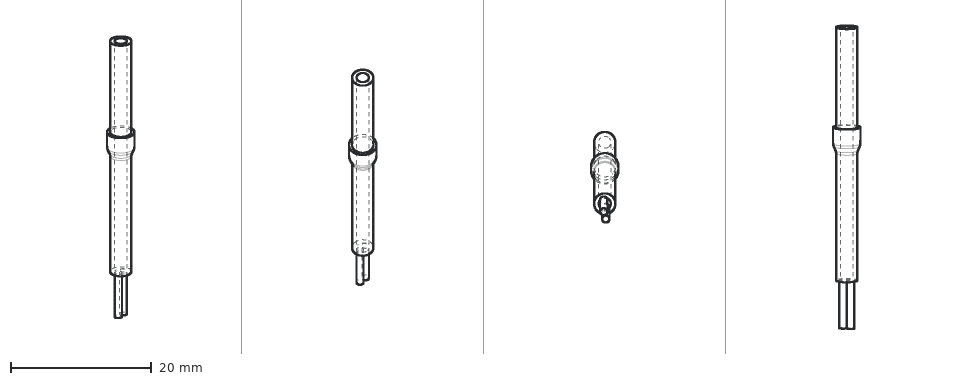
import cadquery as cq

total_length = 43.5
wire_length = 6.9
sleeve_diameter = 3.05
collar_diameter = 3.9
core_diameter = 1.75
wire_diameter = 1.05
wire_spacing = 1.15

collar_top_drop = 14.45
collar_straight_height = 2.55
taper_height = 1.0
taper_blend_radius = 1.0

bottom_z = -total_length / 2
top_z = total_length / 2
sleeve_bottom_z = bottom_z + wire_length
sleeve_length = total_length - wire_length
collar_top_z = top_z - collar_top_drop
taper_top_z = collar_top_z - collar_straight_height
taper_bottom_z = taper_top_z - taper_height


def cylinder(diameter, length, base_z, y=0):
    """Upright cylinder standing on base_z."""
    return cq.Workplane("XY", origin=(0, y, base_z)).circle(diameter / 2).extrude(length)


def make_sleeve():
    """Tube with a square-shouldered collar that tapers smoothly into its lower part."""
    sleeve_radius = sleeve_diameter / 2
    collar_radius = collar_diameter / 2
    profile = (
        cq.Workplane("XZ")
        .moveTo(0, sleeve_bottom_z)
        .lineTo(sleeve_radius, sleeve_bottom_z)
        .lineTo(sleeve_radius, taper_bottom_z)
        .lineTo(collar_radius, taper_top_z)
        .lineTo(collar_radius, collar_top_z)
        .lineTo(sleeve_radius, collar_top_z)
        .lineTo(sleeve_radius, top_z)
        .lineTo(0, top_z)
        .close()
    )
    body = profile.revolve(360, (0, 0, 0), (0, 1, 0))

    taper_edges = cq.selectors.BoxSelector(
        (-collar_diameter, -collar_diameter, taper_bottom_z - taper_height / 4),
        (collar_diameter, collar_diameter, taper_top_z + taper_height / 4),
        boundingbox=True,
    )
    body = body.edges(taper_edges).edges("%CIRCLE").fillet(taper_blend_radius)

    return body.cut(cylinder(core_diameter, sleeve_length, sleeve_bottom_z))


def make_core():
    """Core filling the sleeve's bore, flush at both ends."""
    return cylinder(core_diameter, sleeve_length, sleeve_bottom_z)


def make_wire(y):
    """Lead wire hanging from the bottom end of the core and sleeve."""
    return cylinder(wire_diameter, wire_length, bottom_z, y)


sleeve = make_sleeve()
core = make_core()
wires = [make_wire(side * wire_spacing / 2) for side in (-1, 1)]

result = cq.Compound.makeCompound([sleeve.val(), core.val(), *[wire.val() for wire in wires]])